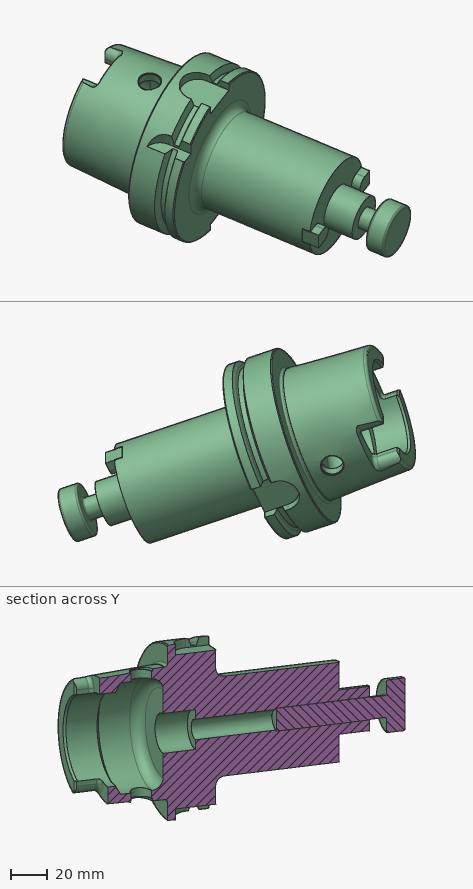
import cadquery as cq
import math


TAPER_END_RADIUS = 35.5
TAPER_SLOPE = 0.05
TAPER_LENGTH = 47.9
TAPER_RIM_FILLET = 1.9
RELIEF_RADIUS = 37.8
RELIEF_FILLET = 1.3

FLANGE_START = 50.0
FLANGE_END = 78.7
FLANGE_RADIUS = 50.0
FLANGE_CHAMFER = 0.5
GRIP_GROOVE_RADIUS = 45.8
GRIP_GROOVE_CENTER = 69.8
GRIP_GROOVE_FLOOR_WIDTH = 3.0
GRIP_GROOVE_FLANK_WIDTH = 1.7
GRIP_GROOVE_LEDGE_WIDTH = 0.5
GRIP_GROOVE_LEDGE_RADIUS = 47.3

NOTCH_WIDTH = 20.0
NOTCH_START = 55.0
NOTCH_FLOOR_Z = 44.0
SIDE_NOTCH_FLOOR_Z = 31.7
SIDE_NOTCH_WALL_Y = -31.4

ARBOR_RADIUS = 28.5
ARBOR_END = 151.3
ARBOR_FILLET = 5.0
PILOT_DIAMETER = 25.5
PILOT_END = 169.0

BORE_DIAMETER = 53.0
BORE_CHAMFER_WIDTH = 0.5
BORE_CHAMFER_LENGTH = 1.5
CLAMP_SHOULDER_X = 19.8
CLAMP_SHOULDER_ANGLE = 60.0
CLAMP_CHAMBER_RADIUS = 31.5
CHAMBER_FLOOR_RADIUS = 25.0
CHAMBER_FLOOR_X = 47.5
CHAMBER_FILLET = CLAMP_CHAMBER_RADIUS - CHAMBER_FLOOR_RADIUS
TUBE_SEAT_DIAMETER = 22.5
TUBE_SEAT_DEPTH = 19.0
COOLANT_DIAMETER = 11.4

CROSS_HOLE_X = 34.8
CROSS_HOLE_DIAMETER = 12.0
CROSS_HOLE_MOUTH_DIAMETER = 12.7
CROSS_HOLE_MOUTH_START = 36.1

DRIVE_SLOT_WIDTH = 20.0
UPPER_SLOT_DEPTH = 10.0
LOWER_SLOT_DEPTH = 15.0
SLOT_FLOOR_FILLET = 2.3
SLOT_FLARE_RADIUS = 5.0
SLOT_FLARE_START = 27.4
SLOT_MOUTH_CHAMFER_WIDTH = 1.7
SLOT_MOUTH_CHAMFER_DEPTH = 1.0

KEY_SIZE = 10.0
KEY_START = 146.5
KEY_INNER = 17.3
KEY_OUTER = 27.8
KEY_ANGLES = (0, 180)

SCREW_DIAMETER = 12.7
SCREW_TIP = 114.0
SCREW_HEAD_DIAMETER = 30.2
SCREW_HEAD_START = 178.7
SCREW_HEAD_END = 190.0
SCREW_HEAD_FILLET = 1.1
SCREW_NECK_FILLET = 0.4

CLEARANCE = 9.5

ARC_BULGE = 1 - math.sqrt(0.5)


def taper_radius(x):
    return TAPER_END_RADIUS + TAPER_SLOPE * x


def cylinder_x(diameter, start, end):
    return cq.Workplane("YZ", origin=(start, 0, 0)).circle(diameter / 2).extrude(end - start)


def revolve_about_x(profile):
    return profile.close().revolve(360, (0, 0, 0), (1, 0, 0))


def build_outer_body():
    groove_floor_half = GRIP_GROOVE_FLOOR_WIDTH / 2
    groove_mouth_half = groove_floor_half + GRIP_GROOVE_FLANK_WIDTH
    groove_ledge_x = GRIP_GROOVE_CENTER + groove_floor_half + GRIP_GROOVE_LEDGE_WIDTH
    relief_bulge = RELIEF_FILLET * ARC_BULGE
    arbor_bulge = ARBOR_FILLET * ARC_BULGE
    pilot_radius = PILOT_DIAMETER / 2
    profile = (
        cq.Workplane("XY")
        .moveTo(0, 0)
        .lineTo(0, taper_radius(0))
        .lineTo(TAPER_LENGTH, taper_radius(TAPER_LENGTH))
        .lineTo(TAPER_LENGTH, RELIEF_RADIUS)
        .lineTo(FLANGE_START - RELIEF_FILLET, RELIEF_RADIUS)
        .threePointArc(
            (FLANGE_START - relief_bulge, RELIEF_RADIUS + relief_bulge),
            (FLANGE_START, RELIEF_RADIUS + RELIEF_FILLET),
        )
        .lineTo(FLANGE_START, FLANGE_RADIUS - FLANGE_CHAMFER)
        .lineTo(FLANGE_START + FLANGE_CHAMFER, FLANGE_RADIUS)
        .lineTo(GRIP_GROOVE_CENTER - groove_mouth_half, FLANGE_RADIUS)
        .lineTo(GRIP_GROOVE_CENTER - groove_floor_half, GRIP_GROOVE_RADIUS)
        .lineTo(GRIP_GROOVE_CENTER + groove_floor_half, GRIP_GROOVE_RADIUS)
        .lineTo(groove_ledge_x, GRIP_GROOVE_LEDGE_RADIUS)
        .lineTo(GRIP_GROOVE_CENTER + groove_mouth_half, FLANGE_RADIUS)
        .lineTo(FLANGE_END - FLANGE_CHAMFER, FLANGE_RADIUS)
        .lineTo(FLANGE_END, FLANGE_RADIUS - FLANGE_CHAMFER)
        .lineTo(FLANGE_END, ARBOR_RADIUS + ARBOR_FILLET)
        .threePointArc(
            (FLANGE_END + arbor_bulge, ARBOR_RADIUS + arbor_bulge),
            (FLANGE_END + ARBOR_FILLET, ARBOR_RADIUS),
        )
        .lineTo(ARBOR_END, ARBOR_RADIUS)
        .lineTo(ARBOR_END, pilot_radius)
        .lineTo(PILOT_END, pilot_radius)
        .lineTo(PILOT_END, 0)
    )
    return revolve_about_x(profile).faces("<X").edges().fillet(TAPER_RIM_FILLET)


def build_bore():
    """Clamping bore with the tube seat, coolant hole and screw hole."""
    bore_radius = BORE_DIAMETER / 2
    cone_length = (CLAMP_CHAMBER_RADIUS - bore_radius) / math.tan(math.radians(CLAMP_SHOULDER_ANGLE))
    fillet_bulge = CHAMBER_FILLET * ARC_BULGE
    seat_end = CHAMBER_FLOOR_X + TUBE_SEAT_DEPTH
    profile = (
        cq.Workplane("XY")
        .moveTo(0, 0)
        .lineTo(0, bore_radius + BORE_CHAMFER_WIDTH)
        .lineTo(BORE_CHAMFER_LENGTH, bore_radius)
        .lineTo(CLAMP_SHOULDER_X, bore_radius)
        .lineTo(CLAMP_SHOULDER_X + cone_length, CLAMP_CHAMBER_RADIUS)
        .lineTo(CHAMBER_FLOOR_X - CHAMBER_FILLET, CLAMP_CHAMBER_RADIUS)
        .threePointArc(
            (CHAMBER_FLOOR_X - fillet_bulge, CLAMP_CHAMBER_RADIUS - fillet_bulge),
            (CHAMBER_FLOOR_X, CHAMBER_FLOOR_RADIUS),
        )
        .lineTo(CHAMBER_FLOOR_X, TUBE_SEAT_DIAMETER / 2)
        .lineTo(seat_end, TUBE_SEAT_DIAMETER / 2)
        .lineTo(seat_end, COOLANT_DIAMETER / 2)
        .lineTo(SCREW_TIP, COOLANT_DIAMETER / 2)
        .lineTo(SCREW_TIP, SCREW_DIAMETER / 2)
        .lineTo(PILOT_END, SCREW_DIAMETER / 2)
        .lineTo(PILOT_END, 0)
    )
    return revolve_about_x(profile)


def build_drive_slot(depth):
    """Cutter for the slot on the +Z side of the rim, with walls that flare outwards."""
    half = DRIVE_SLOT_WIDTH / 2
    flare_end = half + SLOT_FLARE_RADIUS
    shelf_end = flare_end + CLEARANCE
    flare_top = SLOT_FLARE_START + SLOT_FLARE_RADIUS
    top = taper_radius(LOWER_SLOT_DEPTH) + CLEARANCE
    bulge = SLOT_FLARE_RADIUS * ARC_BULGE
    slot = (
        cq.Workplane("YZ")
        .moveTo(-half, 0)
        .lineTo(half, 0)
        .lineTo(half, SLOT_FLARE_START)
        .threePointArc((half + bulge, flare_top - bulge), (flare_end, flare_top))
        .lineTo(shelf_end, flare_top)
        .lineTo(shelf_end, top)
        .lineTo(-shelf_end, top)
        .lineTo(-shelf_end, flare_top)
        .lineTo(-flare_end, flare_top)
        .threePointArc((-half - bulge, flare_top - bulge), (-half, SLOT_FLARE_START))
        .close()
        .extrude(depth)
        .faces(">X")
        .edges()
        .fillet(SLOT_FLOOR_FILLET)
    )
    mouth_half = half + SLOT_MOUTH_CHAMFER_WIDTH
    mouth = (
        cq.Workplane("XY")
        .moveTo(0, -mouth_half)
        .lineTo(0, mouth_half)
        .lineTo(SLOT_MOUTH_CHAMFER_DEPTH, half)
        .lineTo(SLOT_MOUTH_CHAMFER_DEPTH, -half)
        .close()
        .extrude(top)
    )
    return slot.union(mouth)


def build_cross_hole():
    """Hole through both walls of the taper, with a wider mouth on each outer side."""
    length = 2 * FLANGE_RADIUS
    plane = cq.Workplane("XY", origin=(CROSS_HOLE_X, 0, 0))
    hole = plane.circle(CROSS_HOLE_DIAMETER / 2).extrude(length / 2, both=True)
    mouth = (
        plane.workplane(offset=CROSS_HOLE_MOUTH_START)
        .circle(CROSS_HOLE_MOUTH_DIAMETER / 2)
        .extrude(CLEARANCE)
    )
    return hole.union(mouth).union(about_axis(mouth, 180))


def build_flange_notch(center_y, floor_z):
    """Round-ended notch cutter, open towards +Z and +X."""
    radius = NOTCH_WIDTH / 2
    center_x = NOTCH_START + radius
    length = FLANGE_END - center_x
    height = FLANGE_RADIUS + CLEARANCE - floor_z
    round_end = cq.Workplane("XY", origin=(center_x, center_y, floor_z)).circle(radius).extrude(height)
    straight = cq.Workplane("XY").box(length, NOTCH_WIDTH, height, centered=(False, True, False))
    return round_end.union(straight.translate((center_x, center_y, floor_z)))


def build_key(outer, end):
    """Key on the +Y side: rounded inner end, flat outer end."""
    radius = KEY_SIZE / 2
    center = KEY_INNER + radius
    return (
        cq.Workplane("YZ", origin=(KEY_START, 0, 0))
        .moveTo(center, -radius)
        .lineTo(outer, -radius)
        .lineTo(outer, radius)
        .lineTo(center, radius)
        .threePointArc((KEY_INNER, 0), (center, -radius))
        .close()
        .extrude(end - KEY_START)
    )


def about_axis(shape, angle):
    return shape.rotate((0, 0, 0), (1, 0, 0), angle)


def build_holder():
    holder = build_outer_body().cut(build_bore())
    holder = holder.cut(build_drive_slot(UPPER_SLOT_DEPTH))
    holder = holder.cut(about_axis(build_drive_slot(LOWER_SLOT_DEPTH), 180))
    holder = holder.cut(build_cross_hole())
    top_notch = build_flange_notch(0, NOTCH_FLOOR_Z)
    holder = holder.cut(top_notch).cut(about_axis(top_notch, 180))
    side_notch_y = SIDE_NOTCH_WALL_Y - NOTCH_WIDTH / 2
    holder = holder.cut(build_flange_notch(side_notch_y, SIDE_NOTCH_FLOOR_Z))
    key_seat = build_key(ARBOR_RADIUS + CLEARANCE, ARBOR_END)
    for angle in KEY_ANGLES:
        holder = holder.cut(about_axis(key_seat, angle))
    return holder


def build_screw():
    shank = cylinder_x(SCREW_DIAMETER, SCREW_TIP, SCREW_HEAD_START)
    head = cylinder_x(SCREW_HEAD_DIAMETER, SCREW_HEAD_START, SCREW_HEAD_END).edges().fillet(SCREW_HEAD_FILLET)
    screw = shank.union(head)
    neck_corner = cq.selectors.RadiusNthSelector(0)
    head_underside = screw.faces("<X[1]")
    return head_underside.edges(neck_corner).fillet(SCREW_NECK_FILLET)


holder = build_holder()
keys = [about_axis(build_key(KEY_OUTER, KEY_START + KEY_SIZE), angle) for angle in KEY_ANGLES]
screw = build_screw()

result = cq.Compound.makeCompound([holder.val(), *[key.val() for key in keys], screw.val()])